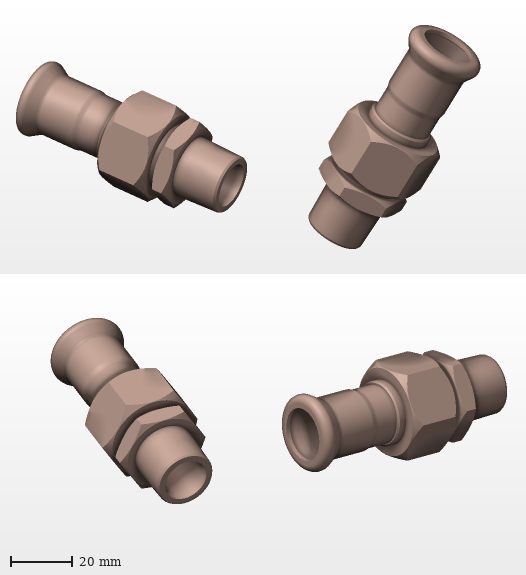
import cadquery as cq
import math


total_length = 76.5
bead_radius = 13.1
bead_round = 2.5
bead_center_radius = bead_radius - bead_round
bead_cone_angle = math.radians(30)
socket_radius = 21.0 / 2
neck_radius = 20.0 / 2
reducer_start = 21.0
reducer_end = 22.9
blend_radius = 1.7

mouth_radius = 8.9
through_radius = 7.5
lip_length = 1.4
wall = socket_radius - mouth_radius
socket_depth = 22.2

front_collar_start = 30.9
front_collar_radius = 22.0 / 2
front_collar_chamfer = 0.5
rear_collar_radius = 23.0 / 2

nut_start = 33.9
nut_length = 18.05
nut_flats = 30.0
nut_face_radius = 14.85
nut_chamfer_angle = 45
collar_step = nut_start + nut_length / 2

wrench_start = 54.3
wrench_length = 6.1
wrench_flats = 26.9
wrench_face_radius = 13.3
wrench_chamfer_angle = 30

spigot_root_radius = 10.5
spigot_taper = 1 / 16
spigot_chamfer_length = 0.8
spigot_tip_radius = 9.6

position_tolerance = 0.01


def revolve_about_x(profile):
    return profile.close().revolve(360, (0, 0, 0), (1, 0, 0))


def cylinder_along_x(start, end, radius):
    return cq.Workplane("YZ").workplane(offset=start).circle(radius).extrude(end - start)


def chamfered_hexagon(start, length, flats, face_radius, chamfer_angle):
    """Hexagonal prism with corners on +Y and -Y, turned to a cone at both ends."""
    corner_radius = flats / math.sqrt(3)
    end = start + length
    prism = cq.Workplane("YZ").workplane(offset=start).polygon(6, 2 * corner_radius).extrude(length)
    cone_length = (corner_radius - face_radius) * math.tan(math.radians(chamfer_angle))
    turned_envelope = revolve_about_x(
        cq.Workplane("XY")
        .moveTo(start, 0)
        .lineTo(start, face_radius)
        .lineTo(start + cone_length, corner_radius)
        .lineTo(end - cone_length, corner_radius)
        .lineTo(end, face_radius)
        .lineTo(end, 0)
    )
    return prism.intersect(turned_envelope)


def bead_section(round_radius, tube_radius):
    """End point of a round about the bead's center, and where its cone meets the tube."""
    round_end = bead_round + round_radius * math.sin(bead_cone_angle)
    round_end_radius = bead_center_radius + round_radius * math.cos(bead_cone_angle)
    cone_end = round_end + (round_end_radius - tube_radius) / math.tan(bead_cone_angle)
    return round_end, round_end_radius, cone_end


def round_circular_edge(body, edge_x, edge_radius, fillet_radius):
    """Fillet the circular edge of the given radius at the given place on X."""
    seam = cq.Vector(edge_x, edge_radius, 0)
    edges = [
        edge for edge in body.edges("%CIRCLE").vals()
        if edge.startPoint().sub(seam).Length < position_tolerance
    ]
    return body.newObject(edges).fillet(fillet_radius)


def make_outer_body():
    """Turned outside of the fitting, from the bead to the spigot tip."""
    bead_end, bead_end_radius, cone_end = bead_section(bead_round, socket_radius)
    chamfer_start = total_length - spigot_chamfer_length
    spigot_length = chamfer_start - (wrench_start + wrench_length)
    spigot_end_radius = spigot_root_radius - spigot_length * spigot_taper / 2

    body = revolve_about_x(
        cq.Workplane("XY")
        .lineTo(0, bead_center_radius)
        .threePointArc((bead_round, bead_radius), (bead_end, bead_end_radius))
        .lineTo(cone_end, socket_radius)
        .lineTo(reducer_start, socket_radius)
        .lineTo(reducer_end, neck_radius)
        .lineTo(front_collar_start, neck_radius)
        .lineTo(front_collar_start, front_collar_radius - front_collar_chamfer)
        .lineTo(front_collar_start + front_collar_chamfer, front_collar_radius)
        .lineTo(collar_step, front_collar_radius)
        .lineTo(collar_step, rear_collar_radius)
        .lineTo(wrench_start + wrench_length, rear_collar_radius)
        .lineTo(wrench_start + wrench_length, spigot_root_radius)
        .lineTo(chamfer_start, spigot_end_radius)
        .lineTo(total_length, spigot_tip_radius)
        .lineTo(total_length, 0)
    )

    for corner_x, corner_radius in (
        (cone_end, socket_radius),
        (reducer_start, socket_radius),
        (reducer_end, neck_radius),
    ):
        body = round_circular_edge(body, corner_x, corner_radius, blend_radius)
    return body


def make_bore():
    """Stepped bore with a seal groove that runs beneath the bead."""
    groove_round = bead_round - wall
    round_end, round_end_radius, cone_end = bead_section(groove_round, mouth_radius)
    bore = revolve_about_x(
        cq.Workplane("XY")
        .lineTo(0, mouth_radius)
        .lineTo(lip_length, mouth_radius)
        .lineTo(lip_length, bead_center_radius + groove_round)
        .lineTo(bead_round, bead_center_radius + groove_round)
        .tangentArcPoint((round_end, round_end_radius), relative=False)
        .lineTo(cone_end, mouth_radius)
        .lineTo(socket_depth, mouth_radius)
        .lineTo(socket_depth, through_radius)
        .lineTo(total_length, through_radius)
        .lineTo(total_length, 0)
    )
    return round_circular_edge(bore, cone_end, mouth_radius, blend_radius + wall)


def make_fitting():
    wrench = chamfered_hexagon(
        wrench_start, wrench_length, wrench_flats, wrench_face_radius, wrench_chamfer_angle
    )
    return make_outer_body().union(wrench).cut(make_bore())


def make_union_nut():
    """Hexagonal nut whose stepped hole fits both collars of the fitting."""
    nut_end = nut_start + nut_length
    nut = chamfered_hexagon(nut_start, nut_length, nut_flats, nut_face_radius, nut_chamfer_angle)
    nut = nut.cut(cylinder_along_x(nut_start, collar_step, front_collar_radius))
    return nut.cut(cylinder_along_x(collar_step, nut_end, rear_collar_radius))


fitting = make_fitting()
union_nut = make_union_nut()

result = cq.Compound.makeCompound([fitting.solids().val(), union_nut.solids().val()])